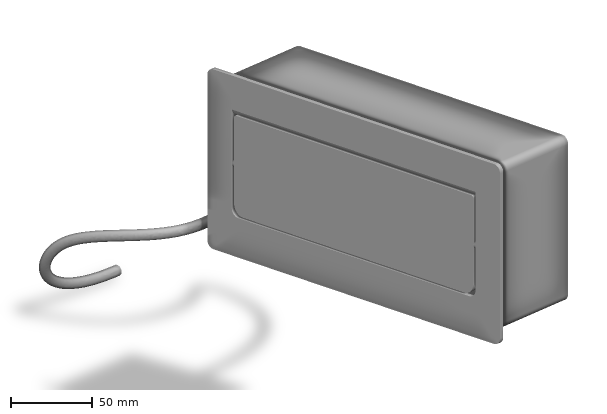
import cadquery as cq


FRAME_WIDTH = 240.0
FRAME_HEIGHT = 120.0
FRAME_THICKNESS = 3.0
FRAME_CORNER_RADIUS = 5.0

OPENING_WIDTH = 200.0
OPENING_BOTTOM = -33.5
OPENING_TOP = 34.5
OPENING_CORNER_RADIUS = 5.5
BEVEL_HEIGHT = 2.5
BEVEL_DEPTH = BEVEL_HEIGHT / 2

DOOR_THICKNESS = 6.0
DOOR_SIDE_GAP = 2.0
DOOR_LOWER_GAP = 1.5
DOOR_UPPER_GAP = 0.5
DOOR_LOWER_RADIUS = 7.0
DOOR_UPPER_RADIUS = 1.5

PIN_DIAMETER = 5.0
PIN_Z = 1.0

LABEL_WIDTH = 30.0
LABEL_HEIGHT = 10.0
LABEL_DEPTH = 1.0
LABEL_Z = -44.5

HOUSING_WIDTH = 224.5
HOUSING_HEIGHT = 110.0
HOUSING_DEPTH = 69.0
HOUSING_CORNER_RADIUS = 5.0
SIDE_WALL = 6.0
REAR_WALL = 2.2
HOUSING_REAR = FRAME_THICKNESS + HOUSING_DEPTH

SLOT_LENGTH = 54.5
SLOT_HEIGHT = 6.7
SLOT_CENTRES_Z = (26.5, -27.5)

GLAND_X = -92.5
GLAND_Z = -15.0
GLAND_DIAMETER = 15.0
GLAND_LENGTH = 5.0

CABLE_DIAMETER = 7.0
CABLE_BENDS = [
    (-132.5, 169.5, -18.5),
    (-206.0, 177.0, -52.5),
    (-220.5, 152.5, -97.0),
    (-238.0, 102.0, -114.0),
    (-301.5, 72.5, -130.0),
]
CABLE_END = (-326.0, 150.0, -179.0)
CABLE_START_PULL = 1.3
CABLE_END_PULL = 2.4


def block(left, right, front, rear, bottom, top):
    """Box between the given X, Y and Z limits."""
    size = (right - left, rear - front, top - bottom)
    return cq.Workplane("XY").box(*size, centered=False).translate((left, front, bottom))


def make_label():
    """Thin inlay, flush with the frame's front face; it also cuts its own recess."""
    half_width = LABEL_WIDTH / 2
    half_height = LABEL_HEIGHT / 2
    return block(-half_width, half_width, 0, LABEL_DEPTH, LABEL_Z - half_height, LABEL_Z + half_height)


def make_frame():
    """Plate with the door opening, a bevel along the opening's top edge and the label recess."""
    frame = block(
        -FRAME_WIDTH / 2, FRAME_WIDTH / 2, 0, FRAME_THICKNESS, -FRAME_HEIGHT / 2, FRAME_HEIGHT / 2
    ).edges("|Y").fillet(FRAME_CORNER_RADIUS)
    opening = block(
        -OPENING_WIDTH / 2, OPENING_WIDTH / 2, 0, FRAME_THICKNESS, OPENING_BOTTOM, OPENING_TOP
    ).edges("|Y and <Z").fillet(OPENING_CORNER_RADIUS)
    bevel = (
        cq.Workplane("YZ", origin=(-OPENING_WIDTH / 2, 0, OPENING_TOP))
        .polyline([(0, 0), (0, BEVEL_HEIGHT), (BEVEL_DEPTH, 0)])
        .close()
        .extrude(OPENING_WIDTH)
    )
    return frame.cut(opening).cut(bevel).cut(make_label())


def make_door():
    half_width = OPENING_WIDTH / 2 - DOOR_SIDE_GAP
    door = block(
        -half_width,
        half_width,
        0,
        DOOR_THICKNESS,
        OPENING_BOTTOM + DOOR_LOWER_GAP,
        OPENING_TOP - DOOR_UPPER_GAP,
    )
    door = door.edges("|Y and <Z").fillet(DOOR_LOWER_RADIUS)
    return door.edges("|Y and >Z").fillet(DOOR_UPPER_RADIUS)


def make_pin(left):
    """Pin along X that spans the gap between the door's edge and the frame."""
    return (
        cq.Workplane("YZ", origin=(left, DOOR_THICKNESS / 2, PIN_Z))
        .circle(PIN_DIAMETER / 2)
        .extrude(DOOR_SIDE_GAP)
    )


def make_housing():
    """Box open at the front, with two through slots in its -X wall."""
    half_width = HOUSING_WIDTH / 2
    half_height = HOUSING_HEIGHT / 2
    housing = block(
        -half_width, half_width, FRAME_THICKNESS, HOUSING_REAR, -half_height, half_height
    ).edges("|Y").fillet(HOUSING_CORNER_RADIUS)
    cavity = block(
        SIDE_WALL - half_width,
        half_width - SIDE_WALL,
        FRAME_THICKNESS,
        HOUSING_REAR - REAR_WALL,
        SIDE_WALL - half_height,
        half_height - SIDE_WALL,
    )
    housing = housing.cut(cavity)
    for slot_z in SLOT_CENTRES_Z:
        slot = block(
            -half_width,
            SIDE_WALL - half_width,
            HOUSING_REAR - SLOT_LENGTH,
            HOUSING_REAR,
            slot_z - SLOT_HEIGHT / 2,
            slot_z + SLOT_HEIGHT / 2,
        )
        housing = housing.cut(slot)
    return housing


def make_gland():
    """Cone on the housing's rear wall that narrows to the cable's diameter."""
    return cq.Workplane(
        cq.Solid.makeCone(
            GLAND_DIAMETER / 2,
            CABLE_DIAMETER / 2,
            GLAND_LENGTH,
            pnt=cq.Vector(GLAND_X, HOUSING_REAR, GLAND_Z),
            dir=cq.Vector(0, 1, 0),
        )
    )


def make_cable():
    """Round cable swept along a curve that leaves and ends pointing toward +Y."""
    start = (GLAND_X, HOUSING_REAR + GLAND_LENGTH, GLAND_Z)
    path = cq.Workplane("XY").spline(
        [start, *CABLE_BENDS, CABLE_END],
        tangents=[(0, CABLE_START_PULL, 0), (0, CABLE_END_PULL, 0)],
        scale=False,
    )
    section = cq.Workplane("XZ", origin=start).circle(CABLE_DIAMETER / 2)
    return section.sweep(path)


frame = make_frame()
door = make_door()
label = make_label()
housing = make_housing()
gland = make_gland()
cable = make_cable()
pins = [make_pin(left).val() for left in (-OPENING_WIDTH / 2, OPENING_WIDTH / 2 - DOOR_SIDE_GAP)]

result = cq.Compound.makeCompound(
    [frame.val(), door.val(), label.val(), housing.val(), gland.val(), cable.val(), *pins]
)